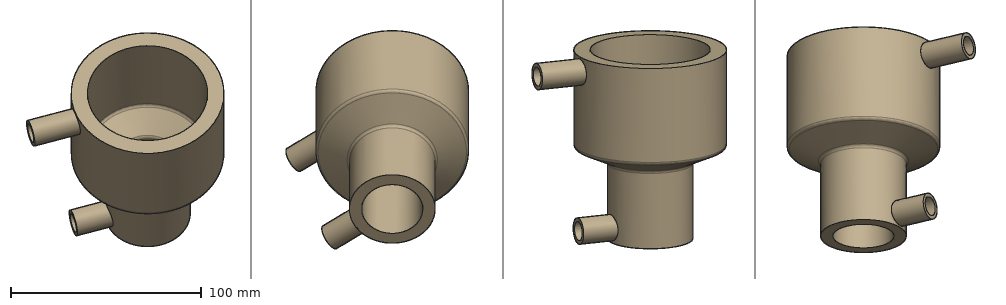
import cadquery as cq

height = 102.0
overall_depth = 104.5
cup_radius = 40.0
cup_bore_radius = 31.5
tube_radius = 22.5
tube_bore_radius = 16.0
cone_top_z = 50.0
cone_bottom_z = 42.0
bore_cone_rise = 1.6
bore_cone_top_z = cone_top_z + bore_cone_rise
bore_cone_bottom_z = cone_bottom_z + bore_cone_rise
edge_fillet = 2.0
selection_margin = 1

pipe_radius = 7.0
pipe_bore_radius = 5.0
pipe_end_inset = 8.0
upper_pipe_reach = overall_depth - cup_radius
lower_pipe_reach = 41.0


def stepped_solid(wide_radius, narrow_radius, step_top_z, step_bottom_z):
    """Revolved wide and narrow cylinders joined by a cone with rounded edges."""
    profile = [
        (0, 0),
        (narrow_radius, 0),
        (narrow_radius, step_bottom_z),
        (wide_radius, step_top_z),
        (wide_radius, height),
        (0, height),
    ]
    solid = cq.Workplane("XZ").polyline(profile).close().revolve(360, (0, 0), (0, 1))
    step_edges = cq.selectors.BoxSelector(
        (-wide_radius, -wide_radius, step_bottom_z - selection_margin),
        (wide_radius, wide_radius, step_top_z + selection_margin),
    )
    return solid.edges("%CIRCLE").edges(step_edges).fillet(edge_fillet)


def rod(radius, reach, z):
    """Cylinder from the body axis out to the given reach along -Y."""
    return cq.Workplane("XZ", origin=(0, 0, z)).circle(radius).extrude(reach)


def side_pipe(reach, z):
    """Pipe whose bore stops at the outer surface of the body."""
    return rod(pipe_radius, reach, z).cut(rod(pipe_bore_radius, reach, z))


outer = stepped_solid(cup_radius, tube_radius, cone_top_z, cone_bottom_z)
bore = stepped_solid(cup_bore_radius, tube_bore_radius, bore_cone_top_z, bore_cone_bottom_z)
upper_pipe = side_pipe(upper_pipe_reach, height - pipe_end_inset)
lower_pipe = side_pipe(lower_pipe_reach, pipe_end_inset)

result = outer.union(upper_pipe).union(lower_pipe).cut(bore)